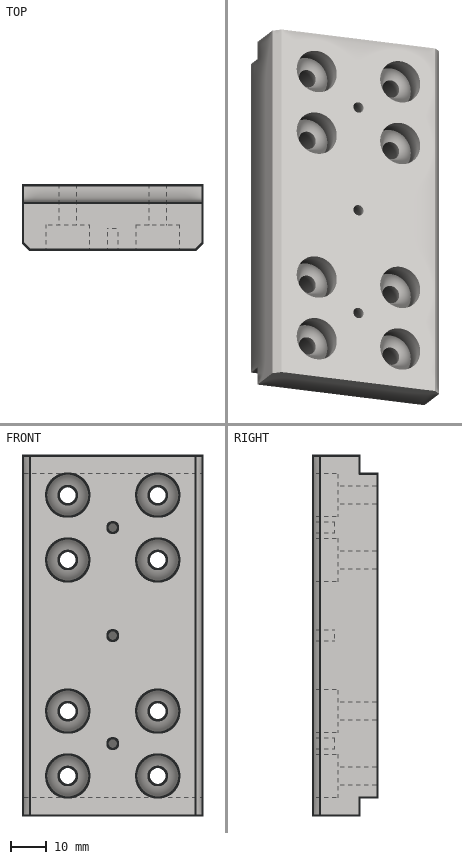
import cadquery as cq

width = 50.0
thickness = 18.0
height = 100.0
edge_chamfer = 2.0

step_depth = 5.0
step_height = 5.0

screw_x = 12.5
screw_rows = (21.0, 39.0)
screw_diameter = 5.0
counterbore_diameter = 12.0
counterbore_depth = 7.0

pin_diameter = 3.0
pin_depth = 6.0
pin_pitch = 30.0

front_y = -thickness / 2
rear_y = thickness / 2


def front_cylinder(x, z, diameter, depth):
    """Cylinder running from the front face into the plate."""
    start = cq.Vector(x, front_y, z)
    return cq.Workplane(cq.Solid.makeCylinder(diameter / 2, depth, start, cq.Vector(0, 1, 0)))


def plate():
    """Block with chamfered vertical front edges and stepped rear ends."""
    body = cq.Workplane("XY").box(width, thickness, height)
    body = body.edges("|Z and <Y").chamfer(edge_chamfer)
    for side in (-1, 1):
        step = cq.Workplane("XY").box(width, step_depth, step_height)
        step_y = rear_y - step_depth / 2
        step_z = side * (height - step_height) / 2
        body = body.cut(step.translate((0, step_y, step_z)))
    return body


def cut_screw_holes(body):
    for x in (-screw_x, screw_x):
        for row in screw_rows:
            for z in (-row, row):
                body = body.cut(front_cylinder(x, z, screw_diameter, thickness))
                body = body.cut(front_cylinder(x, z, counterbore_diameter, counterbore_depth))
    return body


def cut_pin_holes(body):
    for z in (-pin_pitch, 0, pin_pitch):
        body = body.cut(front_cylinder(0, z, pin_diameter, pin_depth))
    return body


result = cut_pin_holes(cut_screw_holes(plate()))